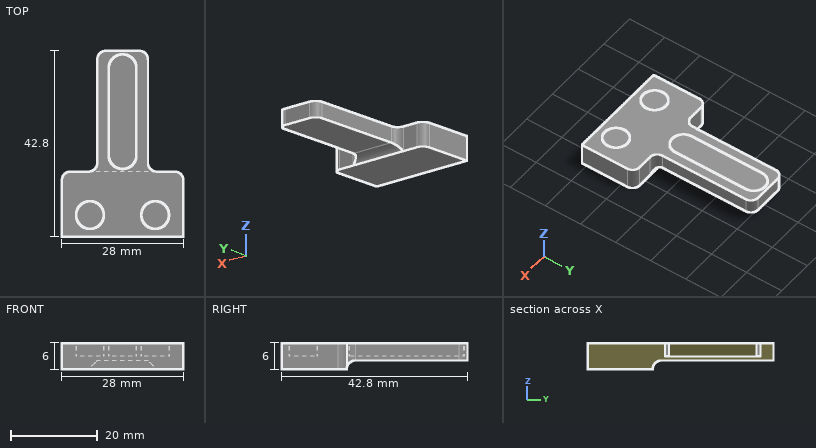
import cadquery as cq

base_width = 28.0
base_depth = 15.0
base_height = 6.0
stem_width = 11.7
stem_thickness = 4.0
total_depth = 42.79
corner_radius = 2.0

pocket_width = 6.5
clearance = 0.125
insert_width = pocket_width - 2 * clearance
pocket_depth = 3.0
round_spacing = 15.0
round_y = 5.0
slot_straight = 20.0
slot_y = 28.77

pocket_floor = base_height - pocket_depth
round_centers = [(-round_spacing / 2, round_y), (round_spacing / 2, round_y)]


def round_prism(center, diameter):
    """Cylinder from the pocket floor up to the top face."""
    return (
        cq.Workplane("XY", origin=(*center, pocket_floor))
        .circle(diameter / 2)
        .extrude(pocket_depth)
    )


def long_prism(width):
    """Round-ended bar along Y, from the pocket floor up to the top face."""
    return (
        cq.Workplane("XY", origin=(0, slot_y, pocket_floor))
        .slot2D(slot_straight + width, width, 90)
        .extrude(pocket_depth)
    )


def make_plate():
    """T-shaped plate with a stepped underside and three blind pockets."""
    base = cq.Workplane("XY").box(base_width, base_depth, base_height, centered=(True, False, False))
    stem = (
        cq.Workplane("XY", origin=(0, 0, base_height - stem_thickness))
        .box(stem_width, total_depth, stem_thickness, centered=(True, False, False))
    )
    base = base.edges("|Z and >Y").fillet(corner_radius)
    stem = stem.edges("|Z and >Y").fillet(corner_radius)
    return cut_pockets(base.union(stem).union(make_root_fillets()))


def make_root_fillets():
    """Concave blends where the stem meets the base: one on each side and one underneath."""
    r = corner_radius
    root_y = base_depth
    half = stem_width / 2

    flare = (
        cq.Workplane("XY")
        .moveTo(-half - r, root_y)
        .radiusArc((-half, root_y + r), -r)
        .lineTo(half, root_y + r)
        .radiusArc((half + r, root_y), -r)
        .close()
        .extrude(base_height)
    )
    profile = (
        cq.Workplane("YZ", origin=(-half - r, 0, 0))
        .moveTo(root_y, 0)
        .radiusArc((root_y + r, base_height - stem_thickness), r)
        .lineTo(root_y + r, base_height)
        .lineTo(root_y, base_height)
        .close()
        .extrude(stem_width + 2 * r)
    )
    return flare.intersect(profile)


def cut_pockets(plate):
    """Cut the two round pockets and the long pocket into the top face."""
    for center in round_centers:
        plate = plate.cut(round_prism(center, pocket_width))
    return plate.cut(long_prism(pocket_width))


plate = make_plate()
round_inserts = [round_prism(center, insert_width) for center in round_centers]
long_insert = long_prism(insert_width)

result = cq.Compound.makeCompound(
    [plate.val(), long_insert.val(), *[insert.val() for insert in round_inserts]]
)